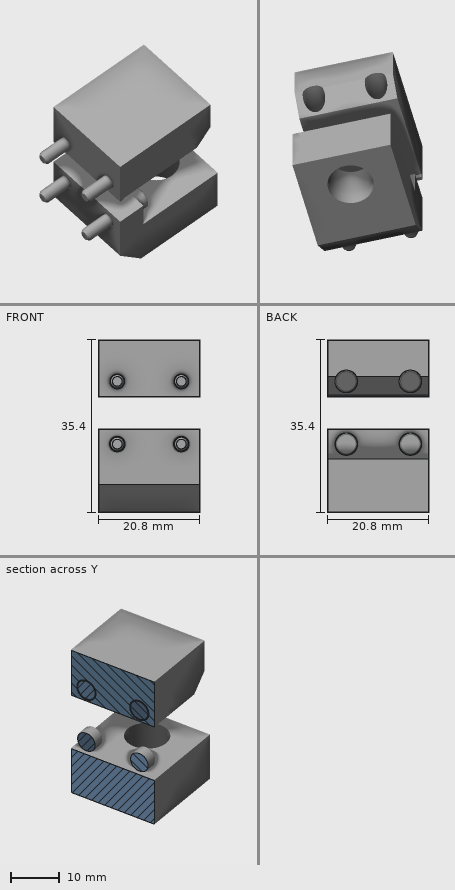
import cadquery as cq

WIDTH = 20.82
TOTAL_HEIGHT = 35.4

LOWER_DEPTH = 26.65
LOWER_TOP = 17.1
LEDGE_TOP = 10.98
WALL_THICKNESS = 6.37
TOE_CHAMFER = 5.7
BORE_DIAMETER = 9.53
BORE_FROM_BACK = 7.65

UPPER_DEPTH = 24.7
UPPER_FLOOR = 24.15
REAR_CHAMFER = 3.8
LIP_HEIGHT = 0.42
LIP_FLAT = 0.7

SCREW_SPACING = 13.17
LOWER_SCREW_Z = 14.02
UPPER_SCREW_Z = 26.9
SHANK_DIAMETER = 2.85
SHANK_PROTRUSION = 6.37
TIP_DIAMETER = 2.0
TIP_LENGTH = 0.55
HEAD_DIAMETER = 4.65
HEAD_HEIGHT = 2.73
HEAD_ROUNDING = 0.32
SEAT_CHAMFER = 0.1

LOWER_HOLE_DIAMETER = 3.2
UPPER_HOLE_DIAMETER = 3.05

SCREW_X_POSITIONS = (-SCREW_SPACING / 2, SCREW_SPACING / 2)


def extrude_side_profile(points):
    """Extrude a closed (Y, Z) outline across the full width."""
    return cq.Workplane("YZ").polyline(points).close().extrude(WIDTH / 2, both=True)


def rod_along_y(diameter, x, z, y_start, y_end):
    """Make a plain cylinder parallel to Y."""
    length = y_end - y_start
    cylinder = cq.Solid.makeCylinder(diameter / 2, length, cq.Vector(x, y_start, z), cq.Vector(0, 1, 0))
    return cq.Workplane(cylinder)


def make_lower_block():
    block = extrude_side_profile([
        (TOE_CHAMFER, 0),
        (LOWER_DEPTH, 0),
        (LOWER_DEPTH, LEDGE_TOP),
        (WALL_THICKNESS, LEDGE_TOP),
        (WALL_THICKNESS, LOWER_TOP),
        (0, LOWER_TOP),
        (0, TOE_CHAMFER),
    ])

    bore_y = LOWER_DEPTH - BORE_FROM_BACK
    bore = cq.Workplane("XY").center(0, bore_y).circle(BORE_DIAMETER / 2).extrude(LEDGE_TOP)
    block = block.cut(bore)

    for x in SCREW_X_POSITIONS:
        block = block.cut(rod_along_y(LOWER_HOLE_DIAMETER, x, LOWER_SCREW_Z, 0, WALL_THICKNESS))
    return block


def make_upper_block():
    lip_bottom = UPPER_FLOOR - LIP_HEIGHT
    block = extrude_side_profile([
        (0, lip_bottom),
        (LIP_FLAT, lip_bottom),
        (LIP_FLAT + LIP_HEIGHT, UPPER_FLOOR),
        (UPPER_DEPTH - REAR_CHAMFER, UPPER_FLOOR),
        (UPPER_DEPTH, UPPER_FLOOR + REAR_CHAMFER),
        (UPPER_DEPTH, TOTAL_HEIGHT),
        (0, TOTAL_HEIGHT),
    ])

    for x in SCREW_X_POSITIONS:
        block = block.cut(rod_along_y(UPPER_HOLE_DIAMETER, x, UPPER_SCREW_Z, 0, WALL_THICKNESS))
        block = block.cut(rod_along_y(HEAD_DIAMETER, x, UPPER_SCREW_Z, WALL_THICKNESS, UPPER_DEPTH))
    return block


def make_screw(x, z):
    """Revolve a screw whose head seats at Y = WALL_THICKNESS."""
    shank_radius = SHANK_DIAMETER / 2
    head_radius = HEAD_DIAMETER / 2
    tip_y = -SHANK_PROTRUSION
    head_end = WALL_THICKNESS + HEAD_HEIGHT
    rounding_start = head_end - HEAD_ROUNDING
    flat_radius = head_radius - HEAD_ROUNDING
    half_profile = (
        cq.Workplane("XY")
        .moveTo(0, tip_y)
        .lineTo(TIP_DIAMETER / 2, tip_y)
        .lineTo(shank_radius, tip_y + TIP_LENGTH)
        .lineTo(shank_radius, WALL_THICKNESS)
        .lineTo(head_radius - SEAT_CHAMFER, WALL_THICKNESS)
        .lineTo(head_radius, WALL_THICKNESS + SEAT_CHAMFER)
        .lineTo(head_radius, rounding_start)
        .tangentArcPoint((flat_radius, head_end), relative=False)
        .lineTo(0, head_end)
        .close()
    )
    screw = half_profile.revolve(360, (0, 0, 0), (0, 1, 0))
    return screw.translate((x, 0, z))


lower_block = make_lower_block()
upper_block = make_upper_block()
screws = [make_screw(x, z) for z in (LOWER_SCREW_Z, UPPER_SCREW_Z) for x in SCREW_X_POSITIONS]

result = cq.Compound.makeCompound([
    lower_block.val(),
    upper_block.val(),
    *[screw.val() for screw in screws],
])